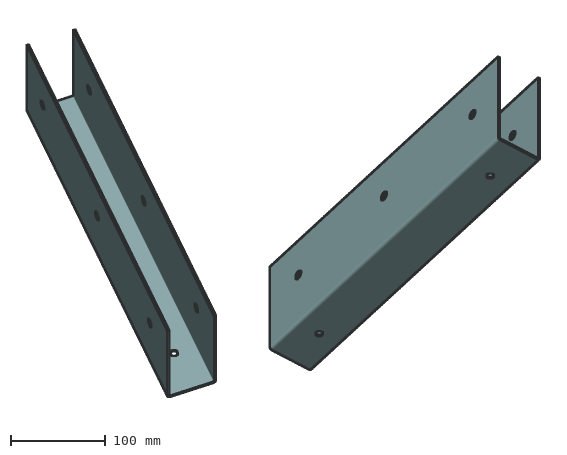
import cadquery as cq

length = 400.0
width = 55.0
height = 120.0
sheet_thickness = 2.5
inner_bend_radius = 1.0
outer_bend_radius = inner_bend_radius + sheet_thickness

wall_hole_diameter = 10.0
wall_hole_height = 70.0
wall_hole_positions = [45.0, 200.0, 350.0]

floor_hole_diameter = 8.0
floor_hole_end_distance = 50.0
floor_hole_positions = [floor_hole_end_distance, length - floor_hole_end_distance]


def bar(bar_width, bottom, bend_radius):
    """Full-length bar up to the channel top, with rounded lower edges."""
    return (
        cq.Workplane("XY")
        .box(length, bar_width, height - bottom, centered=(False, True, False))
        .translate((0, 0, bottom))
        .edges("|X and <Z")
        .fillet(bend_radius)
    )


def channel():
    outside = bar(width, 0, outer_bend_radius)
    inside = bar(width - 2 * sheet_thickness, sheet_thickness, inner_bend_radius)
    return outside.cut(inside)


def wall_holes():
    """Cylinders along Y that pass through both side walls."""
    return (
        cq.Workplane("XZ")
        .pushPoints([(x, wall_hole_height) for x in wall_hole_positions])
        .circle(wall_hole_diameter / 2)
        .extrude(width, both=True)
    )


def floor_holes():
    """Vertical cylinders through the floor, on its centre line."""
    return (
        cq.Workplane("XY")
        .pushPoints([(x, 0) for x in floor_hole_positions])
        .circle(floor_hole_diameter / 2)
        .extrude(height)
    )


result = channel().cut(wall_holes()).cut(floor_holes())